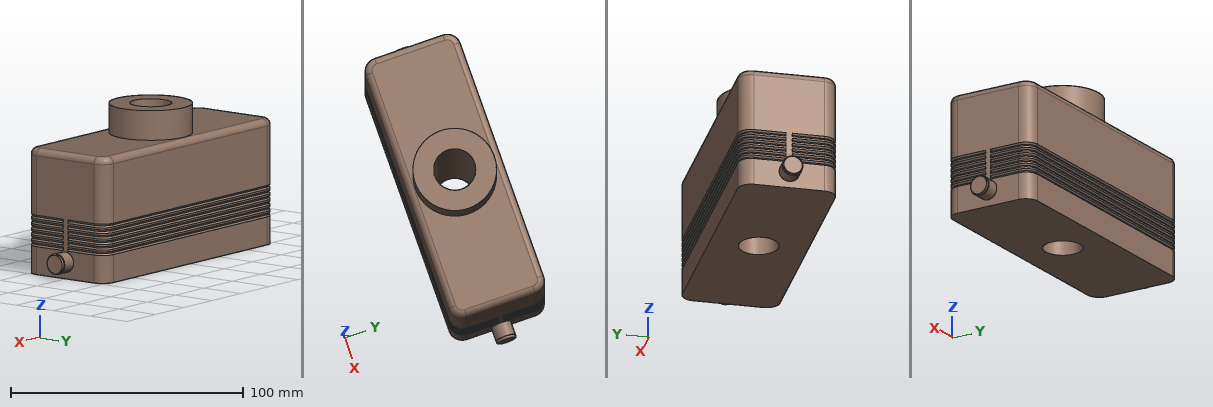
import cadquery as cq

overall_length = 135.0
body_length = 120.0
body_width = 43.0
body_height = 55.1
corner_radius = 6.0
top_fillet = 3.0

overall_height = 68.0
boss_diameter = 36.0
bore_top_diameter = 18.1
bore_bottom_diameter = 17.5

pin_diameter = 8.9
pin_height = 7.4
pin_length = (overall_length - body_length) / 2
tip_bead_length = 1.4
tip_bead_bulge = 0.4

groove_count = 6
groove_pitch = 2.4
groove_width = 1.6
groove_depth = 0.5
lowest_groove_height = 13.1
strip_width = 2.7


def make_body():
    block = cq.Workplane("XY").box(body_length, body_width, body_height, centered=(True, True, False))
    return block.edges("|Z").fillet(corner_radius).faces(">Z").edges().fillet(top_fillet)


def inset_outline(inset):
    """Rounded body outline, pulled inward by the inset."""
    outline = cq.Sketch().rect(body_length - 2 * inset, body_width - 2 * inset)
    return outline.vertices().fillet(corner_radius - inset)


def tapered_slab(lower_inset, upper_inset, bottom, height):
    """Slab with the body outline, inset by a different amount at its bottom and top."""
    lower = inset_outline(lower_inset)
    upper = inset_outline(upper_inset).moved(cq.Location(cq.Vector(0, 0, height)))
    return cq.Workplane("XY").workplane(offset=bottom).placeSketch(lower, upper).loft()


def make_groove(center_height):
    """V-shaped ring around the body, left out over the flush strip at each end."""
    half_width = groove_width / 2
    bottom = center_height - half_width
    ring = cq.Workplane("XY").workplane(offset=bottom)
    ring = ring.rect(2 * body_length, 2 * body_width).extrude(groove_width)
    ring = ring.cut(tapered_slab(0, groove_depth, bottom, half_width))
    ring = ring.cut(tapered_slab(groove_depth, 0, center_height, half_width))
    strip = cq.Workplane("XY").box(3 * body_length, strip_width, 3 * body_height)
    return ring.cut(strip)


def make_pin(side):
    """Pin on the end face at +X (side = 1) or -X (side = -1), ending in a shallow rounded bead."""
    radius = pin_diameter / 2
    neck_radius = radius - tip_bead_bulge
    shoulder = pin_length - tip_bead_length
    profile = (
        cq.Workplane("XY", origin=(side * body_length / 2, 0, pin_height))
        .lineTo(0, radius)
        .lineTo(side * shoulder, radius)
        .lineTo(side * shoulder, neck_radius)
        .threePointArc((side * (shoulder + tip_bead_length / 2), radius), (side * pin_length, neck_radius))
        .lineTo(side * pin_length, 0)
        .close()
    )
    return profile.revolve(360, (0, 0, 0), (1, 0, 0))


result = make_body()
for index in range(groove_count):
    result = result.cut(make_groove(lowest_groove_height + index * groove_pitch))

boss = cq.Workplane("XY").workplane(offset=body_height).circle(boss_diameter / 2)
result = result.union(boss.extrude(overall_height - body_height))
for side in (-1, 1):
    result = result.union(make_pin(side))

bore = cq.Workplane("XY").circle(bore_bottom_diameter / 2).workplane(offset=overall_height)
bore = bore.circle(bore_top_diameter / 2).loft()
result = result.cut(bore)